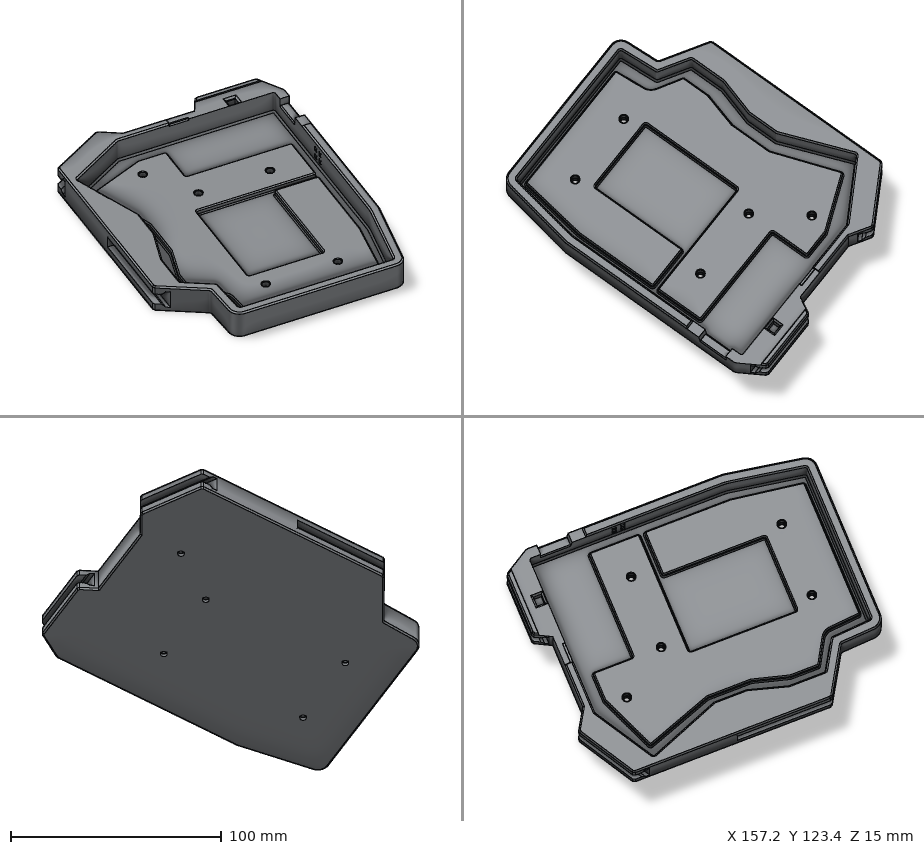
import cadquery as cq
import math

LENGTH = 157.2
WIDTH = 123.4
HEIGHT = 15.0
EDGE_CHAMFER = 0.8
CORNER_BREAK = 0.8
RIGHT_CORNER_RADIUS = 6.0
BACK_LEFT_RADIUS = 4.7
INNER_CORNER_RADIUS = 1.5

SIDE_X = 8.6
PAD_BOTTOM = (0.0, 82.5)
PAD_TOP = (0.0, 115.2)
TONGUE_TIP = (2.0, 29.1)
FRONT_LEFT = (18.7, 0.0)
FRONT_RIGHT = (120.3, 0.0)

WALL = 5.0
FLOOR_Z = 2.5
ISLAND_HEIGHT = 3.0
ISLAND_Z = FLOOR_Z + ISLAND_HEIGHT
ISLAND_CHAMFER = 0.6
ISLAND_BACK = 113.3
ISLAND_RADIUS = 1.1
ISLAND_BEND_RADIUS = 6.3
CAVITY_LEFT = 12.9
CAVITY_RIGHT = LENGTH - WALL
CAVITY_BACK = WIDTH - WALL
CAVITY_RADIUS = 1.3
BACK_BEND_RADIUS = 23.5
CAVITY_FOOT = 1.0

WINDOW_LEFT = 67.1
WINDOW_RIGHT = 122.3
WINDOW_FRONT = 49.5
WINDOW_BACK = 89.8
CHANNEL_WIDTH = 2.5

HOLE_CENTRES = [(55.5, 94.6), (55.5, 56.6), (131.7, 92.5), (131.7, 54.0), (31.0, 39.3)]
HOLE_DIAMETER = 3.1
HOLE_UPPER_DIAMETER = 3.8
HOLE_MOUTH_DIAMETER = 4.5

SLOT_DEPTH = 7.0
SLOT_OPENING = 6.0
SLOT_INNER_HEIGHT = 9.3
SLOT_INNER_DEPTH = 1.9
SLOT_FLARE = (SLOT_INNER_HEIGHT - SLOT_OPENING) / 2
SLOT_OVERRUN = 15.7
FRONT_SLOT_START = 71.8

RELIEF_Z = HEIGHT - EDGE_CHAMFER
RELIEF_LEFT = 2.8
RELIEF_FRONT = 62.5
RELIEF_RIGHT = 42.6
NOTCH_LEFT = 18.7
NOTCH_RIGHT = 34.9
END_SLOPE = 0.8
NOTCH_Z = 10.0
LEDGE_LEFT = 11.6
LEDGE_BACK = 73.0
LEDGE_DEPTH = 0.8
NOTCH_CHAMFER = 0.6

SOCKET_CENTRE = (9.6, 97.6)
SOCKET_LENGTH = 4.1
SOCKET_WIDTH = 4.9
SOCKET_DEPTH = 4.7
SOCKET_CHAMFER = 1.0

PORT_SIZE = 2.0
PORT_PITCH = 4.4
PORT_DEPTH = 1.5
PORT_GROUP_X = 58.6
PORT_GROUP_Z = 8.2


def prism(points, z_low, z_high):
    return cq.Workplane("XY").workplane(offset=z_low).polyline(points).close().extrude(z_high - z_low)


def block(x_low, x_high, y_low, y_high, z_low, z_high):
    size = (x_high - x_low, y_high - y_low, z_high - z_low)
    return cq.Workplane("XY").box(*size, centered=False).translate((x_low, y_low, z_low))


def edges_near(solid, points, reach=0.5):
    """Upright edges of a prism that stand at the given XY points."""
    return solid.edges("|Z").filter(
        lambda edge: any(math.dist(edge.Center().toTuple()[:2], point) < reach for point in points)
    )


def outer_body():
    back_left = (13.4, WIDTH)
    right_front = (LENGTH, 24.7)
    right_back = (LENGTH, 115.8)
    inner_corner = (134.4, 23.4)
    outline = [
        FRONT_LEFT, FRONT_RIGHT, inner_corner, right_front, right_back, (114.0, WIDTH), back_left,
        PAD_TOP, PAD_BOTTOM, (SIDE_X, 78.0), (SIDE_X, 40.0), TONGUE_TIP,
    ]
    body = prism(outline, 0, HEIGHT)
    body = edges_near(body, [right_front, right_back]).fillet(RIGHT_CORNER_RADIUS)
    body = edges_near(body, [back_left]).fillet(BACK_LEFT_RADIUS)
    body = edges_near(body, [inner_corner]).fillet(INNER_CORNER_RADIUS)
    sharp_corners = [FRONT_LEFT, FRONT_RIGHT, TONGUE_TIP, PAD_TOP, PAD_BOTTOM]
    return edges_near(body, sharp_corners).chamfer(CORNER_BREAK)


def cavity():
    back_bend = (113.6, CAVITY_BACK)
    corners = [
        (CAVITY_LEFT, 35.0), (30.7, 4.4), (67.5, 18.9), (84.1, 18.9), (103.5, 13.2), (122.3, 13.2),
        (131.4, 28.3), (CAVITY_RIGHT, 29.7), (CAVITY_RIGHT, 111.8), back_bend, (CAVITY_LEFT, CAVITY_BACK),
    ]
    room = prism(corners, FLOOR_Z, HEIGHT)
    room = edges_near(room, [back_bend]).fillet(BACK_BEND_RADIUS)
    room = edges_near(room, [corner for corner in corners if corner != back_bend]).fillet(CAVITY_RADIUS)
    return room.faces("<Z").chamfer(CAVITY_FOOT)


def island():
    """Raised floor with one outline that runs in through the channel and round the window."""
    bend = (130.5, 35.2)
    channel_right = WINDOW_LEFT + CHANNEL_WIDTH
    corners = [
        (20.6, 42.0), (32.4, 12.7), (66.6, 25.2), (89.0, 25.2), (107.0, 20.1), (121.7, 20.1),
        bend, (149.6, 36.8), (149.6, 108.0), (113.6, ISLAND_BACK),
        (channel_right, ISLAND_BACK), (channel_right, WINDOW_BACK), (WINDOW_RIGHT, WINDOW_BACK),
        (WINDOW_RIGHT, WINDOW_FRONT), (WINDOW_LEFT, WINDOW_FRONT), (WINDOW_LEFT, ISLAND_BACK),
        (41.3, ISLAND_BACK), (41.3, 56.9), (20.6, 56.9),
    ]
    raised = prism(corners, FLOOR_Z, ISLAND_Z)
    raised = edges_near(raised, [bend]).fillet(ISLAND_BEND_RADIUS)
    raised = edges_near(raised, [corner for corner in corners if corner != bend]).fillet(ISLAND_RADIUS)
    outline = raised.faces("<Z").wires().val()
    foot = cq.Workplane("XY", origin=(0, 0, FLOOR_Z)).add(outline).toPending().offset2D(ISLAND_CHAMFER)
    foot = foot.extrude(ISLAND_CHAMFER, taper=45)
    return raised.faces(">Z").chamfer(ISLAND_CHAMFER).union(foot)


def t_slot(start, end, start_overrun, end_overrun):
    """Slot along the wall from start to end, with the body to the left of that direction."""
    run = math.dist(start, end)
    along = cq.Vector((end[0] - start[0]) / run, (end[1] - start[1]) / run, 0)
    origin = cq.Vector(start[0], start[1], HEIGHT / 2) - along * start_overrun
    inward = cq.Vector(-along.y, along.x, 0)
    half_opening = SLOT_OPENING / 2
    half_inner = SLOT_INNER_HEIGHT / 2
    shoulder = SLOT_DEPTH - SLOT_INNER_DEPTH
    neck = shoulder - SLOT_FLARE
    upper = [(neck, half_opening), (shoulder, half_inner), (SLOT_DEPTH, half_inner)]
    lower = [(depth, -height) for depth, height in reversed(upper)]
    mouth = [(-SLOT_DEPTH, -half_opening), (-SLOT_DEPTH, half_opening)]
    plane = cq.Plane(origin=origin, xDir=inward, normal=along)
    section = cq.Workplane(plane).polyline(mouth + upper + lower).close()
    return section.extrude(start_overrun + run + end_overrun)


def back_wall_cut(x_low, x_high, z_low, end_slope):
    """Cut down to z_low through the back wall, its right end leaning outwards by end_slope."""
    section = [(x_low, z_low), (x_high - end_slope, z_low), (x_high, HEIGHT), (x_low, HEIGHT)]
    plane = cq.Workplane("XZ", origin=(0, WIDTH, 0))
    return plane.polyline(section).close().extrude(2 * WALL)


def rim_relief():
    side = block(RELIEF_LEFT, CAVITY_LEFT + WALL, RELIEF_FRONT, WIDTH, RELIEF_Z, HEIGHT)
    back = back_wall_cut(RELIEF_LEFT, RELIEF_RIGHT, RELIEF_Z, END_SLOPE)
    notch = back_wall_cut(NOTCH_LEFT, NOTCH_RIGHT, NOTCH_Z, END_SLOPE)
    ledge = block(LEDGE_LEFT, CAVITY_LEFT, RELIEF_FRONT, LEDGE_BACK, RELIEF_Z - LEDGE_DEPTH, HEIGHT)
    return side.union(back).union(notch).union(ledge)


def notch_sill(body):
    """Long upper edges of the wall left under the notch."""
    low_corner = (NOTCH_LEFT, CAVITY_BACK - 0.2, NOTCH_Z - 0.2)
    high_corner = (NOTCH_RIGHT, WIDTH + 0.2, NOTCH_Z + 0.2)
    return body.edges(cq.selectors.BoxSelector(low_corner, high_corner)).edges("|X")


def socket():
    base = cq.Workplane("XY").workplane(offset=RELIEF_Z).center(*SOCKET_CENTRE)
    straight = base.rect(SOCKET_LENGTH, SOCKET_WIDTH).extrude(-SOCKET_DEPTH)
    flare = 2 * SOCKET_CHAMFER
    mouth = base.rect(SOCKET_LENGTH + flare, SOCKET_WIDTH + flare).extrude(-SOCKET_CHAMFER, taper=45)
    return straight.union(mouth)


def ports():
    holes = cq.Workplane("XY")
    for x in (PORT_GROUP_X - PORT_PITCH / 2, PORT_GROUP_X + PORT_PITCH / 2):
        for z in (PORT_GROUP_Z - PORT_PITCH / 2, PORT_GROUP_Z + PORT_PITCH / 2):
            hole = cq.Workplane("XY").box(PORT_SIZE, 2 * PORT_DEPTH, PORT_SIZE)
            holes = holes.add(hole.translate((x, CAVITY_BACK, z)))
    return holes.combine()


def screw_holes():
    """Through holes, wider inside the island and with a bevelled mouth."""
    top = cq.Workplane("XY").workplane(offset=ISLAND_Z).pushPoints(HOLE_CENTRES)
    through = top.circle(HOLE_DIAMETER / 2).extrude(-ISLAND_Z)
    upper = top.circle(HOLE_UPPER_DIAMETER / 2).extrude(-ISLAND_HEIGHT)
    mouth_depth = (HOLE_MOUTH_DIAMETER - HOLE_UPPER_DIAMETER) / 2
    mouths = top.circle(HOLE_MOUTH_DIAMETER / 2).extrude(-mouth_depth, taper=45)
    return through.union(upper).union(mouths)


body = outer_body().cut(cavity())
body = body.faces(">Z").edges().chamfer(EDGE_CHAMFER)
body = body.faces("<Z").edges().chamfer(EDGE_CHAMFER)
body = body.union(island())
body = body.cut(t_slot(PAD_TOP, PAD_BOTTOM, SLOT_OVERRUN, SLOT_OVERRUN))
body = body.cut(t_slot(TONGUE_TIP, FRONT_LEFT, SLOT_OVERRUN, SLOT_OVERRUN))
body = body.cut(t_slot((FRONT_SLOT_START, 0), FRONT_RIGHT, 0, SLOT_OVERRUN))
body = body.cut(rim_relief())
body = notch_sill(body).chamfer(NOTCH_CHAMFER)
result = body.cut(socket()).cut(ports()).cut(screw_holes())